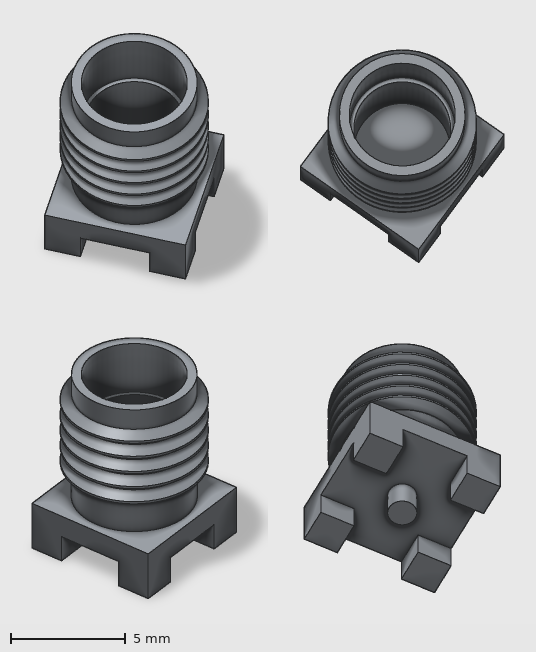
import cadquery as cq
import math

total_height = 8.84

base_width = 6.365
base_height = 2.38
leg_height = 1.29
leg_gap = 3.13

neck_radius = 2.76
barrel_radius = 2.74

ridge_count = 5
ridge_pitch = 0.805
ridge_radius = 3.235
ridge_crest = 0.115
flank_angle = 30.0
thread_top = 7.81

socket_radius = 2.31
socket_depth = 2.58
lower_socket_radius = 2.11
lower_socket_floor = base_height

pin_radius = 0.64

flank_height = (ridge_radius - barrel_radius) * math.tan(math.radians(flank_angle))
ridge_height = ridge_crest + 2 * flank_height
thread_bottom = thread_top - (ridge_count - 1) * ridge_pitch - ridge_height


def cylinder(radius, bottom, top):
    """Upright cylinder on the Z axis between two heights."""
    return cq.Workplane("XY").workplane(offset=bottom).circle(radius).extrude(top - bottom)


def make_base():
    """Square block, cut crosswise from below so that four legs remain."""
    block = cq.Workplane("XY").box(base_width, base_width, base_height, centered=(True, True, False))
    slot_x = cq.Workplane("XY").box(base_width, leg_gap, leg_height, centered=(True, True, False))
    slot_y = cq.Workplane("XY").box(leg_gap, base_width, leg_height, centered=(True, True, False))
    return block.cut(slot_x).cut(slot_y)


def make_barrel():
    """Plain neck, threaded barrel core and ridges revolved in one profile."""
    profile = [
        (0, base_height),
        (neck_radius, base_height),
        (neck_radius, thread_bottom),
        (barrel_radius, thread_bottom),
    ]
    for index in reversed(range(ridge_count)):
        top = thread_top - index * ridge_pitch
        bottom = top - ridge_height
        if index < ridge_count - 1:
            profile.append((barrel_radius, bottom))
        profile.append((ridge_radius, bottom + flank_height))
        profile.append((ridge_radius, top - flank_height))
        profile.append((barrel_radius, top))
    profile += [(barrel_radius, total_height), (0, total_height)]
    return cq.Workplane("XZ").polyline(profile).close().revolve(360, (0, 0, 0), (0, 1, 0))


def make_housing():
    """Base and barrel in one piece, with the stepped socket."""
    upper_bore = cylinder(socket_radius, total_height - socket_depth, total_height)
    lower_bore = cylinder(lower_socket_radius, lower_socket_floor, total_height)
    return make_base().union(make_barrel()).cut(upper_bore).cut(lower_bore)


def make_pin():
    """Contact pin between the legs, seated against the underside of the base."""
    return cylinder(pin_radius, 0, leg_height)


housing = make_housing().solids()
pin = make_pin()

result = cq.Compound.makeCompound([housing.val(), pin.val()])